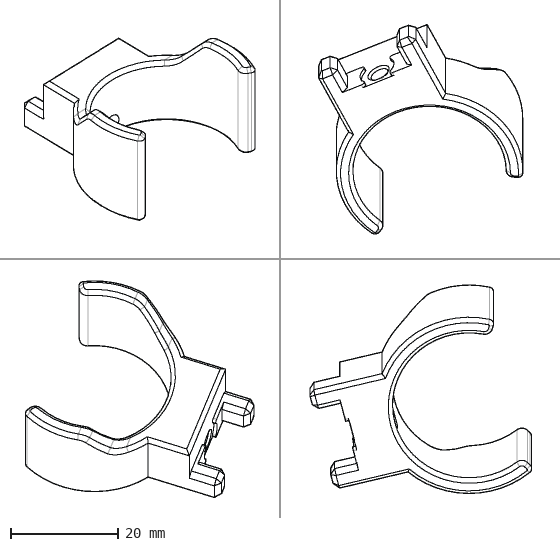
import cadquery as cq
import math

length = 36.72
height = 20.0

ring_outer_r = 17.4
ring_wall = 3.12
ring_inner_r = ring_outer_r - ring_wall
tip_angle = 60.0
tip_outer_fillet = 1.0
tip_inner_fillet = 1.5
edge_chamfer = 0.8

block_front = 6.0
block_width = 20.0
block_height = 14.0

rise_start = 17.5
rise_angle = 48.0
rise_lower_r = 3.38
rise_upper_r = 2.8

prong_width = 3.9
prong_height = 6.1
prong_chamfer = 1.03
prong_root = 0.8
pad_thickness = 0.65
pad_relief_r = 3.5
pad_corner_r = 0.55

hole_d = 3.45
hole_chamfer = 0.45
hole_z = prong_height / 2

tip_center_r = ring_outer_r - tip_outer_fillet
tip_center_angle = math.radians(tip_angle) + math.asin(tip_outer_fillet / tip_center_r)
ring_x = length - tip_outer_fillet - tip_center_r * math.cos(tip_center_angle)


def ring_body():
    """Full-height ring with a wedge opened towards +X, rounded at the arm tips."""
    ring = cq.Workplane("XY").circle(ring_outer_r).circle(ring_inner_r).extrude(height)
    reach = 2 * ring_outer_r
    reach_y = reach * math.tan(math.radians(tip_angle))
    opening = (
        cq.Workplane("XY")
        .polyline([(0, 0), (reach, -reach_y), (reach, reach_y)])
        .close()
        .extrude(height)
    )
    ring = ring.cut(opening)

    tip_direction = math.radians(tip_angle)
    for radius, fillet in ((ring_outer_r, tip_outer_fillet), (ring_inner_r, tip_inner_fillet)):
        for side in (1, -1):
            corner = (radius * math.cos(tip_direction), side * radius * math.sin(tip_direction), height / 2)
            tip_edge = cq.selectors.NearestToPointSelector(corner)
            ring = ring.edges("|Z").edges(tip_edge).fillet(fillet)
    return ring.translate((ring_x, 0, 0))


def block_body():
    """Full-height block running from its front face into the ring."""
    block = cq.Workplane("XY").box(
        ring_x - block_front, block_width, height, centered=(False, True, False)
    )
    bore = cq.Workplane("XY").center(ring_x, 0).circle(ring_inner_r).extrude(height)
    return block.translate((block_front, 0, 0)).cut(bore)


def rise_cutter():
    """Space above the low block top and the S-shaped rise to the arms."""
    sin_a = math.sin(math.radians(rise_angle))
    cos_a = math.cos(math.radians(rise_angle))
    sin_half = math.sin(math.radians(rise_angle / 2))
    cos_half = math.cos(math.radians(rise_angle / 2))

    lower_end = (rise_start + rise_lower_r * sin_a, block_height + rise_lower_r * (1 - cos_a))
    lower_mid = (rise_start + rise_lower_r * sin_half, block_height + rise_lower_r * (1 - cos_half))
    upper_start_z = height - rise_upper_r * (1 - cos_a)
    upper_start_x = lower_end[0] + (upper_start_z - lower_end[1]) * cos_a / sin_a
    rise_end = upper_start_x + rise_upper_r * sin_a
    upper_mid = (rise_end - rise_upper_r * sin_half, height - rise_upper_r * (1 - cos_half))

    return (
        cq.Workplane("XZ")
        .moveTo(0, block_height)
        .lineTo(rise_start, block_height)
        .threePointArc(lower_mid, lower_end)
        .lineTo(upper_start_x, upper_start_z)
        .threePointArc(upper_mid, (rise_end, height))
        .lineTo(rise_end, 2 * height)
        .lineTo(0, 2 * height)
        .close()
        .extrude(2 * ring_outer_r, both=True)
    )


def chamfered_body():
    """Ring and block with the top and bottom rims broken, except under the front face."""
    body = ring_body().union(block_body()).cut(rise_cutter())
    front_bottom = cq.selectors.NearestToPointSelector((block_front, 0, 0))
    sharp_edge = body.edges(front_bottom).val()
    rims = [edge for edge in body.edges("not |Z").vals() if not edge.isSame(sharp_edge)]
    return body.newObject(rims).chamfer(edge_chamfer)


def prong():
    """Prong on the +Y side with bevelled edges; its outer bottom bevel lines up with the block's."""
    prong_length = block_front + prong_root
    bar = cq.Workplane("XY").box(
        prong_length, prong_width, prong_height, centered=(False, False, False)
    )
    bar = bar.edges("|X and >Y and <Z").chamfer(edge_chamfer)
    bar = bar.edges("<X or (|X and (>Z or <Y))").chamfer(prong_chamfer)
    return bar.translate((0, block_width / 2 - prong_width, 0))


def pad():
    """Thin pad from the +Y prong inwards, relieved around the screw hole."""
    pad_outer = block_width / 2 - prong_chamfer
    plate = cq.Workplane("XY").box(
        pad_thickness, pad_outer, prong_height, centered=(False, False, False)
    )
    relief = cq.Workplane("YZ").center(0, hole_z).circle(pad_relief_r).extrude(pad_thickness)
    return (
        plate.cut(relief)
        .edges("|X")
        .edges("<Y")
        .fillet(pad_corner_r)
        .translate((block_front - pad_thickness, 0, 0))
    )


def screw_hole():
    """Countersunk screw hole along X, from the front face into the ring bore."""
    front = cq.Workplane("YZ", origin=(block_front, 0, hole_z))
    drill = front.circle(hole_d / 2).extrude(ring_x - block_front)
    mouth = (
        front.circle(hole_d / 2 + hole_chamfer)
        .workplane(offset=hole_chamfer)
        .circle(hole_d / 2)
        .loft()
    )
    return drill.union(mouth)


side_grip = prong().union(pad())
result = (
    chamfered_body()
    .union(side_grip)
    .union(side_grip.mirror("XZ"))
    .cut(screw_hole())
)